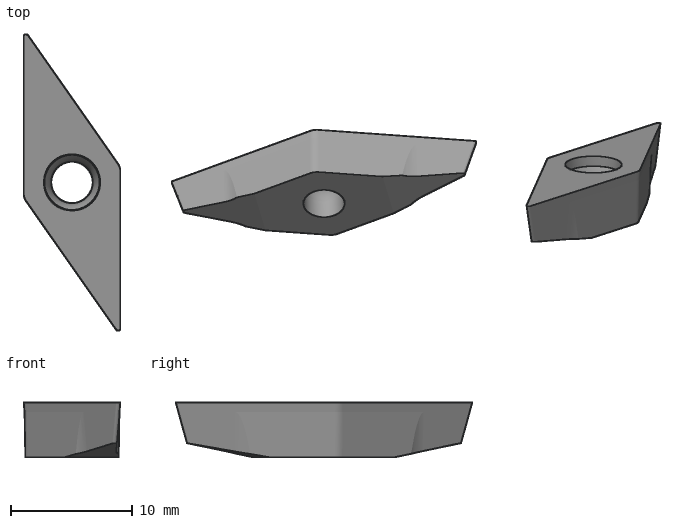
import cadquery as cq
import math

INSCRIBED_RADIUS = 4.0
ACUTE_ANGLE = 35.0
THICKNESS = 4.53
CLEARANCE_ANGLE = 5.0
NOSE_RADIUS = 0.2
OBTUSE_RADIUS = 1.1

PANEL_DROP = 0.8
PANEL_ANGLE = 1.0
PANEL_REACH = 7.34
RUNOUT_RADIUS = 3.5

RAMP_START = 5.4
RAMP_ANGLE = 10.3

MOUTH_RADIUS = 2.33
MOUTH_BASE_RADIUS = 2.27
MOUTH_DEPTH = 0.85
SEAT_RADIUS = 2.18
SEAT_DEPTH = 1.02
SEAT_ARC_RADIUS = 3.5
BORE_RADIUS = 1.7

MARGIN = 1.0
CORNER_TOLERANCE = 1e-4
HALF_ANGLE = math.radians(ACUTE_ANGLE / 2)
LONG_DIAGONAL = cq.Vector(-math.sin(HALF_ANGLE), math.cos(HALF_ANGLE), 0)
SHORT_DIAGONAL = cq.Vector(math.cos(HALF_ANGLE), math.sin(HALF_ANGLE), 0)


def taper(depth, angle):
    """Inward shift of a leaning surface after dropping by depth."""
    return depth * math.tan(math.radians(angle))


def round_corners(wire, corners, radius):
    """Wire with the vertices lying at the given corners rounded."""
    chosen = []
    for vertex in wire.Vertices():
        if any((vertex.Center() - corner).Length < CORNER_TOLERANCE for corner in corners):
            chosen.append(vertex)
    return wire.fillet2D(radius, chosen)


def rhombus(inscribed_radius, z):
    """Rhombus wire at height z, with rounded noses and rounded obtuse corners."""
    center = cq.Vector(0, 0, z)
    to_nose = LONG_DIAGONAL * (inscribed_radius / math.sin(HALF_ANGLE))
    to_obtuse = SHORT_DIAGONAL * (inscribed_radius / math.cos(HALF_ANGLE))
    noses = [center + to_nose, center - to_nose]
    obtuse_corners = [center + to_obtuse, center - to_obtuse]
    wire = cq.Wire.makePolygon([noses[0], obtuse_corners[0], noses[1], obtuse_corners[1]], close=True)
    wire = round_corners(wire, noses, NOSE_RADIUS)
    return round_corners(wire, obtuse_corners, OBTUSE_RADIUS)


def tapered_block(top_radius, top_z, angle):
    """Leaning-sided rhombic block from top_z down to the bottom face."""
    bottom_radius = top_radius - taper(top_z + THICKNESS, angle)
    sections = [rhombus(top_radius, top_z), rhombus(bottom_radius, -THICKNESS)]
    return cq.Workplane(cq.Solid.makeLoft(sections, True))


def about_center(shape):
    """The shape together with its half-turn copy about the Z axis."""
    return [shape, shape.rotate((0, 0, 0), (0, 0, 1), 180)]


def runout_cutters():
    """Rounded-end grinding volumes that bare each flank between its panel and its nose."""
    lean = math.radians(CLEARANCE_ANGLE)
    down_flank = cq.Vector(math.sin(lean), 0, -math.cos(lean))
    flank = cq.Plane(origin=(-INSCRIBED_RADIUS, 0, 0), xDir=(0, 1, 0), normal=down_flank)
    pass_length = 2 * INSCRIBED_RADIUS
    depth = THICKNESS + MARGIN
    wheel = cq.Workplane(flank).center(PANEL_REACH, -RUNOUT_RADIUS).circle(RUNOUT_RADIUS).extrude(depth)
    sweep = (
        cq.Workplane(flank)
        .center(PANEL_REACH, -2 * RUNOUT_RADIUS)
        .rect(pass_length, 2 * RUNOUT_RADIUS, centered=False)
        .extrude(depth)
    )
    cutter = wheel.union(sweep)
    mirrored = cutter.mirror(SHORT_DIAGONAL, (0, 0, 0))
    return about_center(cutter) + about_center(mirrored)


def seating_panels():
    """Steeper block below the cutting band, cut back at both ends of every flank."""
    panel_radius = INSCRIBED_RADIUS - taper(PANEL_DROP, CLEARANCE_ANGLE)
    panels = tapered_block(panel_radius, -PANEL_DROP, PANEL_ANGLE)
    for cutter in runout_cutters():
        panels = panels.cut(cutter)
    panel_end = INSCRIBED_RADIUS * math.sin(HALF_ANGLE) + PANEL_REACH * math.cos(HALF_ANGLE)
    middle = cq.Plane(origin=(0, 0, -THICKNESS), xDir=LONG_DIAGONAL, normal=(0, 0, 1))
    keep = cq.Workplane(middle).rect(2 * (panel_end + MARGIN), 4 * INSCRIBED_RADIUS).extrude(THICKNESS)
    return panels.intersect(keep)


def nose_ramps():
    """Wedges below the noses, rising outward from the bottom face."""
    length = INSCRIBED_RADIUS / math.sin(HALF_ANGLE)
    rise = taper(length, RAMP_ANGLE)
    side = cq.Plane(origin=(0, 0, -THICKNESS), xDir=LONG_DIAGONAL, normal=SHORT_DIAGONAL)
    wedge = (
        cq.Workplane(side)
        .polyline([(RAMP_START, 0), (RAMP_START + length, rise), (RAMP_START + length, 0)])
        .close()
        .extrude(2 * INSCRIBED_RADIUS, both=True)
    )
    return about_center(wedge)


def screw_hole():
    """Revolved hole whose rounded seat runs tangent into the bore."""
    arc_center_radius = BORE_RADIUS + SEAT_ARC_RADIUS
    arc_angle = math.acos((arc_center_radius - SEAT_RADIUS) / SEAT_ARC_RADIUS)
    bore_z = -SEAT_DEPTH - SEAT_ARC_RADIUS * math.sin(arc_angle)
    arc_middle = (
        arc_center_radius - SEAT_ARC_RADIUS * math.cos(arc_angle / 2),
        bore_z + SEAT_ARC_RADIUS * math.sin(arc_angle / 2),
    )
    return (
        cq.Workplane("XZ")
        .lineTo(MOUTH_RADIUS, 0)
        .lineTo(MOUTH_BASE_RADIUS, -MOUTH_DEPTH)
        .lineTo(SEAT_RADIUS, -SEAT_DEPTH)
        .threePointArc(arc_middle, (BORE_RADIUS, bore_z))
        .lineTo(BORE_RADIUS, -THICKNESS)
        .lineTo(0, -THICKNESS)
        .close()
        .revolve(360, (0, 0, 0), (0, 1, 0))
    )


def insert():
    """Complete insert with panels, nose ramps and screw hole."""
    body = tapered_block(INSCRIBED_RADIUS, 0, CLEARANCE_ANGLE).union(seating_panels())
    for ramp in nose_ramps():
        body = body.cut(ramp)
    return body.cut(screw_hole())


result = insert()